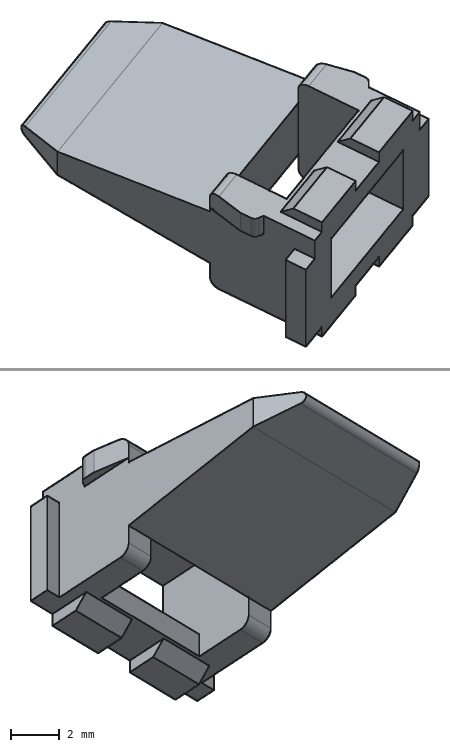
import cadquery as cq
import math

length = 14.8

tip_radius = 0.31
bevel_end_x = 2.28
bevel_end_half_height = 0.75
wedge_root_half_height = 1.67
tip_half_width = 3.23

body_front_x = 9.7
body_half_width = 4.05
body_half_height = 3.08
body_corner_radius = 0.49

opening_half_width = 2.78
crossbar_front_x = 12.62
crossbar_height = 1.17
crossbar_inner_z = body_half_height - crossbar_height

ear_projection = 0.37
ear_crest_start_x = 11.4
ear_crest_end_x = 11.91
ear_round_end_x = 12.2
ear_round_drop = 0.16
ear_end_x = 12.31

flange_front_x = 13.81
flange_half_width = 4.75

lug_front_x = 12.79
lug_half_height = 3.7
lug_slope_end_x = lug_front_x + lug_half_height - body_half_height
lug_inner_y = 0.9
lug_width = 2.6


def box_between(x_min, x_max, y_min, y_max, z_min, z_max):
    return cq.Workplane("XY").box(
        x_max - x_min, y_max - y_min, z_max - z_min, centered=False
    ).translate((x_min, y_min, z_min))


def make_wedge():
    run = bevel_end_x - tip_radius
    bevel_angle = math.atan2(bevel_end_half_height, run) - math.asin(
        tip_radius / math.hypot(run, bevel_end_half_height)
    )
    tangent_x = tip_radius * (1 - math.sin(bevel_angle))
    tangent_z = tip_radius * math.cos(bevel_angle)

    profile = (
        cq.Workplane("XZ")
        .moveTo(tangent_x, -tangent_z)
        .threePointArc((0, 0), (tangent_x, tangent_z))
        .lineTo(bevel_end_x, bevel_end_half_height)
        .lineTo(body_front_x, wedge_root_half_height)
        .lineTo(body_front_x, -wedge_root_half_height)
        .lineTo(bevel_end_x, -bevel_end_half_height)
        .close()
        .extrude(body_half_width, both=True)
    )
    plan = (
        cq.Workplane("XY")
        .polyline([
            (0, -tip_half_width),
            (bevel_end_x, -body_half_width),
            (body_front_x, -body_half_width),
            (body_front_x, body_half_width),
            (bevel_end_x, body_half_width),
            (0, tip_half_width),
        ])
        .close()
        .extrude(wedge_root_half_height, both=True)
    )
    return profile.intersect(plan)


def make_ear():
    """Ear on the +Y side, overlapping the body down to the opening."""
    crest_y = body_half_width + ear_projection
    round_end_y = crest_y - ear_round_drop
    return (
        cq.Workplane("XY", origin=(0, 0, crossbar_inner_z))
        .moveTo(body_front_x, opening_half_width)
        .lineTo(body_front_x, body_half_width)
        .lineTo(ear_crest_start_x, crest_y)
        .lineTo(ear_crest_end_x, crest_y)
        .tangentArcPoint((ear_round_end_x, round_end_y), relative=False)
        .lineTo(ear_end_x, body_half_width)
        .lineTo(ear_end_x, opening_half_width)
        .close()
        .extrude(crossbar_height)
        .edges("|Y and <X and >Z")
        .fillet(body_corner_radius)
    )


def make_body():
    body = box_between(
        body_front_x, length,
        -body_half_width, body_half_width,
        -body_half_height, body_half_height,
    ).edges("|Y and <X").fillet(body_corner_radius)
    ear = make_ear()
    body = body.union(ear).union(ear.mirror("XZ"))

    vertical_window = box_between(
        body_front_x, crossbar_front_x,
        -opening_half_width, opening_half_width,
        -body_half_height, body_half_height,
    )
    rear_opening = box_between(
        crossbar_front_x, length,
        -opening_half_width, opening_half_width,
        -crossbar_inner_z, crossbar_inner_z,
    )
    return body.cut(vertical_window).cut(rear_opening)


def make_flange():
    return box_between(
        flange_front_x, length,
        body_half_width, flange_half_width,
        -body_half_height, crossbar_inner_z,
    )


def make_lug():
    """Upper lug on the +Y side, with its front sloped at 45 degrees."""
    return (
        cq.Workplane("XZ", origin=(0, lug_inner_y, 0))
        .polyline([
            (lug_front_x, body_half_height),
            (lug_slope_end_x, lug_half_height),
            (length, lug_half_height),
            (length, body_half_height),
        ])
        .close()
        .extrude(-lug_width)
    )


result = make_body().union(make_wedge())

flange = make_flange()
result = result.union(flange).union(flange.mirror("XZ"))

lug = make_lug()
for upper_lug in (lug, lug.mirror("XZ")):
    result = result.union(upper_lug).union(upper_lug.mirror("XY"))